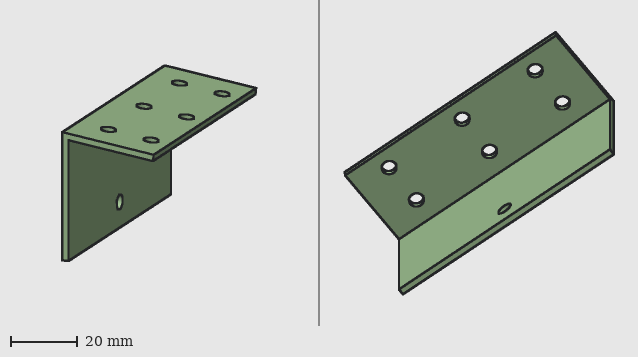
import cadquery as cq
import math

length = 78.0
wall_height = 40.0
flange_length = 30.0
thickness = 2.0
flange_drop_angle = 7.0

hole_diameter = 4.5
flange_hole_distances = (10.0, 24.0)
flange_hole_pitch = 27.0
wall_hole_height = 8.0

slope = math.radians(flange_drop_angle)
cut_margin = 0.8


def on_flange(distance, depth):
    """XZ point at a distance down the slope and a depth below the top face."""
    x = distance * math.cos(slope) - depth * math.sin(slope)
    z = wall_height - distance * math.sin(slope) - depth * math.cos(slope)
    return x, z


def make_angle_plate():
    """Extrude the angle profile, centred on Y = 0."""
    inner_z = wall_height - thickness * math.tan(slope) - thickness / math.cos(slope)
    return (
        cq.Workplane("XZ")
        .moveTo(0, 0)
        .lineTo(thickness, 0)
        .lineTo(thickness, inner_z)
        .lineTo(*on_flange(flange_length, thickness))
        .lineTo(*on_flange(flange_length, 0))
        .lineTo(0, wall_height)
        .close()
        .extrude(length / 2, both=True)
    )


def hole_cutter(start, direction):
    """Cylinder that passes through one plate."""
    depth = thickness + 2 * cut_margin
    return cq.Solid.makeCylinder(hole_diameter / 2, depth, start, direction)


result = make_angle_plate()

into_flange = cq.Vector(-math.sin(slope), 0, -math.cos(slope))
for distance in flange_hole_distances:
    x, z = on_flange(distance, -cut_margin)
    for row in (-1, 0, 1):
        start = cq.Vector(x, row * flange_hole_pitch, z)
        result = result.cut(hole_cutter(start, into_flange))

wall_start = cq.Vector(-cut_margin, 0, wall_hole_height)
result = result.cut(hole_cutter(wall_start, cq.Vector(1, 0, 0)))